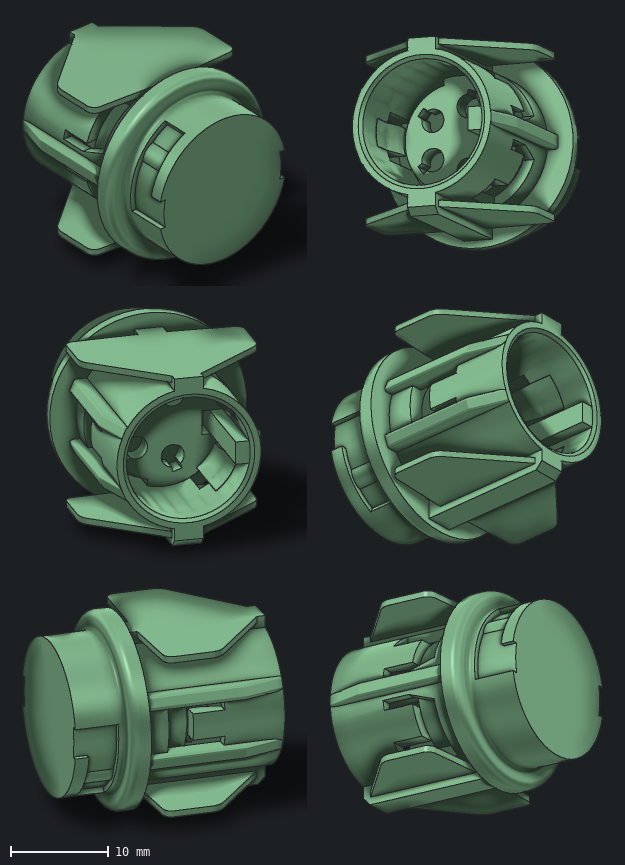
import cadquery as cq
import math

length = 23.0
flange_dia = 21.0
flange_x = 15.5
flange_end_x = 17.5
flange_round = 0.83
body_dia = 16.8
neck_round = 0.45

sleeve_r = 7.68
mouth_dia = 14.0
mouth_chamfer_length = 0.25
bore_mouth_r = 6.6
bore_floor_r = 6.55
floor_x = 10.05

web_width = 3.08
web_top_z = 8.83
web_bottom_z = -9.65
web_chamfer = 0.8
wing_thickness = 0.7
wing_half_span = 9.52
wing_front_x = 0.92
wing_front_corner_x = 7.65
wing_back_corner_x = 13.6
wing_back_x = 13.94
wing_front_round = 2.0
wing_back_round = 1.0

rib_tip_r = 8.83
rib_ramp_length = 4.32
rib_round = 0.32
single_rib_half_width = 0.78
paired_rib_low_z = 2.53
paired_rib_high_z = 4.02
paired_rib_angle = 22.5

window_x = 6.49
window_end_x = 12.63
side_window_flat_y = 2.95
side_window_low_z = 1.26
side_window_top_z = 9.2
side_window_slant_x = 9.65
tongue_gap = 0.1
tongue_end_x = floor_x - tongue_gap
side_tongue_low_z = 2.28
side_tongue_high_z = 5.27
back_tongue_half_width = 1.45
back_window_half_width = paired_rib_low_z
hook_start_x = 3.8
hook_knee_x = 6.35
hook_knee_r = 6.49
hook_tip_x = 8.5
hook_tip_r = 6.0
slice_depth = 0.7

key_tip_y = 5.04
key_half_width = 1.22
key_notch_y = 4.19
key_notch_half_width = 1.29
floor_ledge_r = 5.89
floor_ledge_y = 1.59

contact_circle_r = 3.5
contact_pitch = 72.0
contact_count = 4
contact_r = 1.22
contact_depth = 2.3
contact_key_width = 1.0
contact_key_reach = 1.65

bayonet_x = 18.33
bayonet_lip_x = 21.5
bayonet_floor_r = 7.77
bayonet_entry_half_width = 1.6
bayonet_end_angle = 63.2
detent_start_angle = 29.3
detent_end_angle = 45.5
detent_r = 2.0

outside = 13.8
flange_r = flange_dia / 2
body_r = body_dia / 2


def box(x0, x1, y0, y1, z0, z1):
    """Axis-aligned block between the given limits."""
    return cq.Workplane("XY").box(x1 - x0, y1 - y0, z1 - z0, centered=False).translate((x0, y0, z0))


def ring(x0, x1, inner_r, outer_r):
    """Ring around the X axis."""
    return cq.Workplane("YZ").workplane(offset=x0).circle(outer_r).circle(inner_r).extrude(x1 - x0)


def prism_x(points, x0, x1):
    """(Y, Z) polygon extruded from x0 to x1."""
    return cq.Workplane("YZ").workplane(offset=x0).polyline(points).close().extrude(x1 - x0)


def turned(part, angle):
    """Part turned about the X axis."""
    return part.rotate((0, 0, 0), (1, 0, 0), angle)


def polar(radius, angle):
    """(Y, Z) point at an angle from +Y towards +Z."""
    return radius * math.cos(math.radians(angle)), radius * math.sin(math.radians(angle))


def turned_body():
    """Sleeve, flange and rear barrel, with the blind bore."""
    arc_mid = 1 - math.sqrt(0.5)
    outer = (
        cq.Workplane("XY")
        .moveTo(0, 0)
        .lineTo(0, sleeve_r)
        .lineTo(flange_x, sleeve_r)
        .lineTo(flange_x, flange_r)
        .lineTo(flange_end_x - flange_round, flange_r)
        .threePointArc(
            (flange_end_x - flange_round * arc_mid, flange_r - flange_round * arc_mid),
            (flange_end_x, flange_r - flange_round),
        )
        .lineTo(flange_end_x, body_r + neck_round)
        .threePointArc(
            (flange_end_x + neck_round * arc_mid, body_r + neck_round * arc_mid),
            (flange_end_x + neck_round, body_r),
        )
        .lineTo(length, body_r)
        .lineTo(length, 0)
        .close()
        .revolve(360, (0, 0, 0), (1, 0, 0))
    )
    bore_points = [
        (0, 0),
        (0, mouth_dia / 2),
        (mouth_chamfer_length, bore_mouth_r),
        (floor_x, bore_floor_r),
        (floor_x, 0),
    ]
    bore = cq.Workplane("XY").polyline(bore_points).close().revolve(360, (0, 0, 0), (1, 0, 0))
    return outer.cut(bore)


def web(outer_z):
    """Web from inside the sleeve wall out to a given height."""
    wall_z = math.copysign((sleeve_r + bore_mouth_r) / 2, outer_z)
    low_z, high_z = sorted((wall_z, outer_z))
    return box(0, flange_x, -web_width / 2, web_width / 2, low_z, high_z)


def wing(low_z):
    """Flat wing plate, symmetric about Y = 0."""
    half_web = web_width / 2
    outline = [
        (wing_front_x, -half_web),
        (wing_front_corner_x, -wing_half_span),
        (wing_back_corner_x, -wing_half_span),
        (wing_back_x, -half_web),
        (wing_back_x, half_web),
        (wing_back_corner_x, wing_half_span),
        (wing_front_corner_x, wing_half_span),
        (wing_front_x, half_web),
    ]
    plate = cq.Workplane("XY").workplane(offset=low_z).polyline(outline).close().extrude(wing_thickness)
    for corner_x, radius in ((wing_front_corner_x, wing_front_round), (wing_back_corner_x, wing_back_round)):
        corners = [(corner_x, side * wing_half_span, low_z) for side in (-1, 1)]
        for corner in corners:
            plate = plate.edges("|Z").edges(cq.selectors.NearestToPointSelector(corner)).fillet(radius)
    return plate


def rib(angle, low_z, high_z):
    """Ramped guide rib with flat sides, its tip square to the given angle."""
    root_r = (sleeve_r + bore_mouth_r) / 2
    profile = [
        (0, root_r),
        (0, sleeve_r),
        (rib_ramp_length, rib_tip_r),
        (flange_x, rib_tip_r),
        (flange_x, root_r),
    ]
    slab = cq.Workplane("XY").polyline(profile).close().extrude(outside / 2, both=True)
    blank = turned(slab, angle).intersect(box(0, flange_x, -outside, outside, low_z, high_z))
    long_tip_edges = blank.edges().filter(
        lambda edge: edge.BoundingBox().xlen > 0.23 and math.hypot(edge.Center().y, edge.Center().z) > sleeve_r + 0.23
    )
    return long_tip_edges.fillet(rib_round)


def side_window():
    """Window on the -Y, +Z side: flat upper end, slanted lower rear corner."""
    outline = [
        (window_x, side_window_low_z),
        (side_window_slant_x, side_window_low_z),
        (window_end_x, side_tongue_low_z),
        (window_end_x, side_window_top_z),
        (window_x, side_window_top_z),
    ]
    opening = cq.Workplane("XZ", origin=(0, -side_window_flat_y, 0)).polyline(outline).close()
    return opening.extrude(outside).intersect(ring(window_x, window_end_x, bore_floor_r, sleeve_r))


def hook_ring():
    """Two-slope ramp on the bore that the tongues are sliced from."""
    root_r = (sleeve_r + bore_mouth_r) / 2
    profile = [
        (hook_start_x, root_r),
        (hook_start_x, bore_floor_r),
        (hook_knee_x, hook_knee_r),
        (hook_tip_x, hook_tip_r),
        (tongue_end_x, hook_tip_r),
        (tongue_end_x, root_r),
    ]
    return cq.Workplane("XY").polyline(profile).close().revolve(360, (0, 0, 0), (1, 0, 0))


def side_tongue_slice():
    """Prism bounding the -Y, +Z tongue; its hook ends on a radial face."""
    hook_corner_y = math.sqrt(bore_floor_r**2 - side_tongue_high_z**2)
    outline = [
        (-outside, side_tongue_low_z),
        (-outside, side_tongue_high_z),
        (-hook_corner_y, side_tongue_high_z),
        (-hook_corner_y * slice_depth, side_tongue_high_z * slice_depth),
        (-hook_corner_y * slice_depth, side_tongue_low_z),
    ]
    return prism_x(outline, hook_start_x, tongue_end_x)


def add_latches(body):
    """Three hooked tongues, each in its own window."""
    upper_window = side_window()
    upper_slice = side_tongue_slice()
    back_window = ring(window_x, window_end_x, bore_floor_r, sleeve_r).intersect(
        box(window_x, window_end_x, 0, outside, -back_window_half_width, back_window_half_width)
    )
    back_slice = box(
        hook_start_x, tongue_end_x, 0, outside, -back_tongue_half_width, back_tongue_half_width
    )
    latches = [
        (upper_window, upper_slice),
        (upper_window.mirror("XY"), upper_slice.mirror("XY")),
        (back_window, back_slice),
    ]
    tongue_ring = ring(hook_start_x, tongue_end_x, bore_floor_r, sleeve_r).union(hook_ring())
    for window, tongue_slice in latches:
        body = body.cut(window).union(tongue_ring.intersect(tongue_slice))
    return body


def floor_clearances():
    """Ledge beside the back tongue and socket around the bore key."""
    ledge = ring(floor_x, window_end_x, floor_ledge_r, bore_floor_r).intersect(
        box(floor_x, window_end_x, floor_ledge_y, outside, -outside, outside)
    )
    socket = box(
        floor_x,
        window_end_x,
        -bore_floor_r,
        -key_notch_y,
        -key_notch_half_width,
        key_notch_half_width,
    )
    return ledge.union(socket)


def bore_key():
    """Polarising key along the -Y side of the bore."""
    root_y = (sleeve_r + bore_mouth_r) / 2
    return box(mouth_chamfer_length, window_end_x, -root_y, -key_tip_y, -key_half_width, key_half_width)


def contact_hole(angle):
    """Blind round hole with a key slot pointing away from the axis."""
    end_x = floor_x + contact_depth
    round_hole = cq.Workplane("YZ").workplane(offset=floor_x).circle(contact_r).extrude(contact_depth)
    slot = box(floor_x, end_x, 0, contact_key_reach, -contact_key_width / 2, contact_key_width / 2)
    return turned(round_hole.union(slot).translate((0, contact_circle_r, 0)), angle)


def bayonet_slot():
    """Slot on the +Y side: open entry, run towards +Z and a detent bump."""
    entry = box(
        bayonet_x, length, 0, outside, -bayonet_entry_half_width, bayonet_entry_half_width
    )
    run_outline = [
        (0, 0),
        (outside, 0),
        polar(2 * outside, bayonet_end_angle / 2),
        polar(outside, bayonet_end_angle),
    ]
    run = prism_x(run_outline, bayonet_x, bayonet_lip_x)
    slot = entry.union(run).intersect(ring(bayonet_x, length, bayonet_floor_r, body_r + 0.23))

    mid_angle = (detent_start_angle + detent_end_angle) / 2
    half_angle = math.radians(detent_end_angle - detent_start_angle) / 2
    half_chord = bayonet_floor_r * math.sin(half_angle)
    detent_centre_r = bayonet_floor_r * math.cos(half_angle) - math.sqrt(detent_r**2 - half_chord**2)
    detent = (
        cq.Workplane("YZ")
        .workplane(offset=bayonet_x)
        .center(*polar(detent_centre_r, mid_angle))
        .circle(detent_r)
        .extrude(bayonet_lip_x - bayonet_x)
    )
    return slot.cut(detent)


result = add_latches(turned_body())
result = result.cut(floor_clearances()).union(bore_key())

bottom_web = web(web_bottom_z).faces("<Z").edges("<X").chamfer(web_chamfer)
result = result.union(web(web_top_z)).union(bottom_web)
for wing_low_z in (web_top_z - wing_thickness, -web_top_z):
    result = result.union(wing(wing_low_z))

paired_rib = rib(paired_rib_angle, paired_rib_low_z, paired_rib_high_z)
result = result.union(paired_rib).union(paired_rib.mirror("XY"))
result = result.union(rib(180, -single_rib_half_width, single_rib_half_width))

for place in range(contact_count):
    result = result.cut(contact_hole(contact_pitch * (place - (contact_count - 1) / 2)))

plus_y_slot = bayonet_slot().mirror("XY")
result = result.cut(plus_y_slot).cut(turned(plus_y_slot, 180))